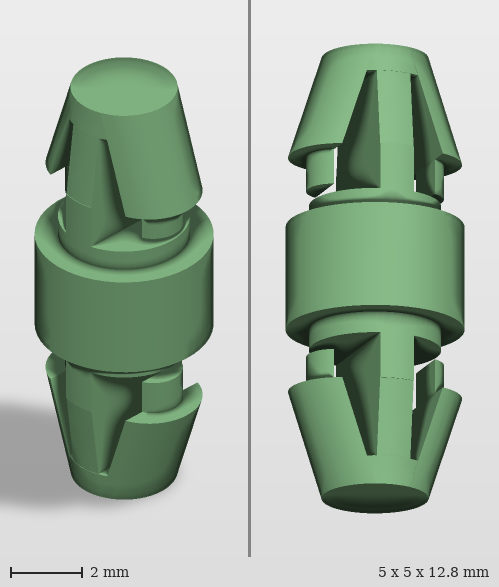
import cadquery as cq
import math

total_length = 12.8
end_z = total_length / 2

collar_diameter = 5.0
collar_height = 3.0
neck_diameter = 3.7
neck_top_z = 2.1

tip_radius = 1.5
arm_height = 3.0
arm_base_z = end_z - arm_height
cap_bottom_z = 5.6
cap_bottom_radius = 1.59
web_taper_base_radius = 1.83
web_taper_top_radius = 1.57
web_thickness = 1.0

arm_lean = 1.0
arm_chord_offset = 0.5

pin_bottom_z = 2.4
pin_width = 1.52
pin_depth = 0.5

join_tolerance = 0.001


def segment(z, chord_x, half_chord, outer_x):
    """Closed outline at height z: a chord parallel to Y and an arc bulging to outer_x."""
    return (
        cq.Workplane("XY", origin=(0, 0, z))
        .moveTo(chord_x, -half_chord)
        .threePointArc((outer_x, 0), (chord_x, half_chord))
        .close()
    )


def make_body():
    """Collar with a neck on each side."""
    collar = cq.Workplane("XY").cylinder(collar_height, collar_diameter / 2)
    neck = cq.Workplane("XY").cylinder(2 * neck_top_z, neck_diameter / 2)
    return collar.union(neck)


def make_post():
    """Revolved post, thinned to a flat web below its solid cap."""
    post = (
        cq.Workplane("XZ")
        .polyline([
            (0, 0),
            (neck_diameter / 2, 0),
            (neck_diameter / 2, arm_base_z),
            (web_taper_base_radius, arm_base_z),
            (web_taper_top_radius, cap_bottom_z),
            (cap_bottom_radius, cap_bottom_z),
            (tip_radius, end_z),
            (0, end_z),
        ])
        .close()
        .revolve(360, (0, 0), (0, 1))
    )
    web = cq.Workplane("XY").box(
        web_thickness, neck_diameter, cap_bottom_z, centered=(True, True, False)
    )
    cap = (
        cq.Workplane("XY", origin=(0, 0, cap_bottom_z))
        .circle(neck_diameter / 2)
        .extrude(end_z - cap_bottom_z)
    )
    return post.intersect(web.union(cap))


def make_arm():
    """Leaning arm on the +X side with its pin."""
    half_chord = math.sqrt(tip_radius**2 - arm_chord_offset**2)
    base_chord_x = arm_chord_offset + arm_lean
    base = segment(arm_base_z, base_chord_x, half_chord, tip_radius + arm_lean)
    tip = segment(end_z, arm_chord_offset, half_chord, tip_radius)
    arm = cq.Workplane(cq.Solid.makeLoft([base.val(), tip.val()], True))
    pin = segment(pin_bottom_z, base_chord_x, pin_width / 2, base_chord_x + pin_depth)
    return arm.union(pin.extrude(arm_base_z - pin_bottom_z))


def make_clip():
    """Upper clip: post with two opposite arms."""
    arm = make_arm()
    clip = make_post().union(arm, tol=join_tolerance)
    return clip.union(arm.mirror("YZ"), tol=join_tolerance)


clip = make_clip()
result = make_body().union(clip).union(clip.mirror("XY"))